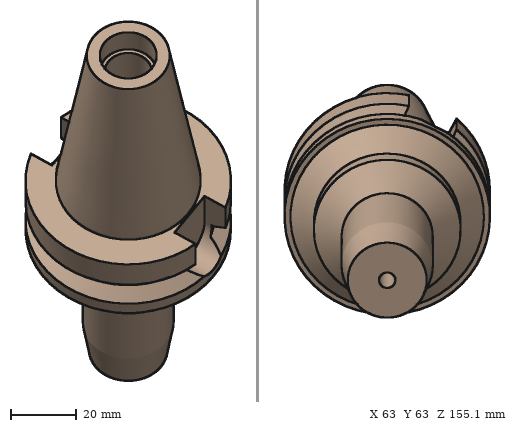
import cadquery as cq

nose_height = 14.3
shank_top = 43.5
collar_bottom = 50.3
collar_top = 56.5
rim_bottom = 63.1
rim_top = 68.1
groove_bottom = 70.9
groove_top = 75.0
flange_bottom = 78.2
flange_top = 88.9
taper_bottom = 90.1
total_height = 155.1

nose_radius = 12.1
shank_radius = 14.0
collar_radius = 22.5
rim_cone_radius = 29.6
flange_radius = 31.5
groove_radius = 26.5
taper_large_radius = 22.2
taper_small_radius = 12.7

mouth_radius = 8.7
mouth_depth = 9.0
thread_radius = 7.3
thread_depth = 31.0
relief_radius = 3.5
relief_depth = 65.1
through_radius = 2.5

slot_width = 16.5
slot_floor_x = 22.6
slot_bottom = 66.7


def make_body():
    """Revolve the outer profile of nose, shank, flange and taper about Z."""
    profile = [
        (0, 0),
        (nose_radius, 0),
        (shank_radius, nose_height),
        (shank_radius, shank_top),
        (collar_radius, collar_bottom),
        (collar_radius, collar_top),
        (rim_cone_radius, rim_bottom),
        (flange_radius, rim_bottom),
        (flange_radius, rim_top),
        (groove_radius, groove_bottom),
        (groove_radius, groove_top),
        (flange_radius, flange_bottom),
        (flange_radius, flange_top),
        (taper_large_radius, flange_top),
        (taper_large_radius, taper_bottom),
        (taper_small_radius, total_height),
        (0, total_height),
    ]
    return cq.Workplane("XZ").polyline(profile).close().revolve(360, (0, 0), (0, 1))


def make_bore(radius, depth):
    """Cylinder reaching down from the small end of the taper."""
    return cq.Workplane("XY").workplane(offset=total_height - depth).circle(radius).extrude(depth)


def make_drive_slot():
    """Round-bottomed slot on the +X side, open at the rim and the flange top."""
    half_width = slot_width / 2
    arc_height = slot_bottom + half_width
    return (
        cq.Workplane("YZ")
        .workplane(offset=slot_floor_x)
        .moveTo(-half_width, flange_top)
        .lineTo(-half_width, arc_height)
        .threePointArc((0, slot_bottom), (half_width, arc_height))
        .lineTo(half_width, flange_top)
        .close()
        .extrude(flange_radius - slot_floor_x)
    )


result = make_body()

bore_steps = [
    (mouth_radius, mouth_depth),
    (thread_radius, thread_depth),
    (relief_radius, relief_depth),
    (through_radius, total_height),
]
for step_radius, step_depth in bore_steps:
    result = result.cut(make_bore(step_radius, step_depth))

for slot_angle in (0, 180):
    result = result.cut(make_drive_slot().rotate((0, 0, 0), (0, 0, 1), slot_angle))